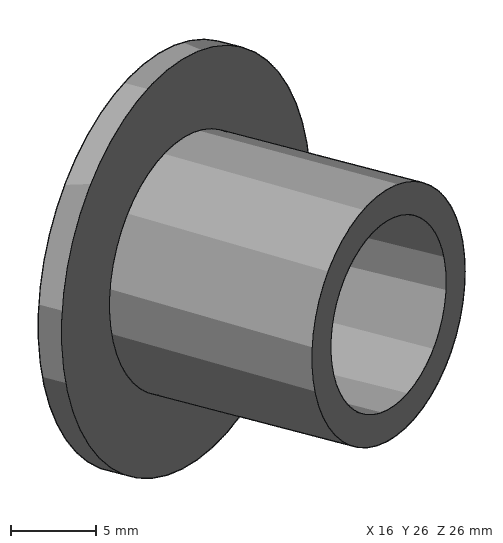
import cadquery as cq

flange_diameter = 26.0
flange_thickness = 1.66
barrel_diameter = 16.0
bore_diameter = 12.0
overall_length = 16.0


def cylinder_along_x(diameter, length):
    """Solid cylinder on the X axis, starting at the outer flange face."""
    return cq.Workplane("YZ").circle(diameter / 2).extrude(length)


flange = cylinder_along_x(flange_diameter, flange_thickness)
barrel = cylinder_along_x(barrel_diameter, overall_length)
bore = cylinder_along_x(bore_diameter, overall_length)

result = flange.union(barrel).cut(bore)